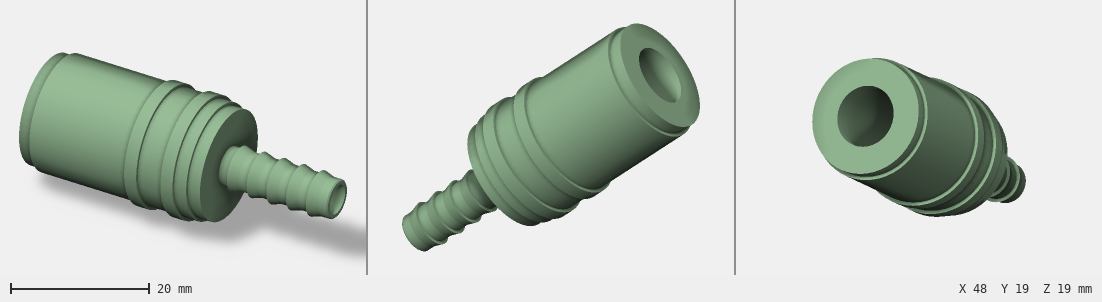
import cadquery as cq

BODY_LENGTH = 30.0
BODY_DIAMETER = 18.0
END_LAND_DIAMETER = 17.0
END_LAND_LENGTH = 2.0

RING_DIAMETER = 19.0
RING_WIDTH = 2.0
RING_STARTS = (18.0, 24.0)

TOTAL_LENGTH = 48.0
TAIL_DIAMETER = 6.0
TAIL_LENGTH = TOTAL_LENGTH - BODY_LENGTH
TIP_CHAMFER = 0.2
BARB_DIAMETER = 7.0
BARB_COUNT = 5
BARB_LENGTH = TAIL_LENGTH / (2 * BARB_COUNT + 1)

SOCKET_DIAMETER = 9.0
SOCKET_DEPTH = 20.0
PASSAGE_DIAMETER = 4.5


def cylinder(start, length, diameter):
    """Solid cylinder along +X, beginning at x = start."""
    return cq.Workplane("YZ", origin=(start, 0, 0)).circle(diameter / 2).extrude(length)


def make_body():
    """Cylinder with a reduced land at each end and the raised grip rings."""
    body = cylinder(0, BODY_LENGTH, END_LAND_DIAMETER)
    main_length = BODY_LENGTH - 2 * END_LAND_LENGTH
    body = body.union(cylinder(END_LAND_LENGTH, main_length, BODY_DIAMETER))
    for start in RING_STARTS:
        body = body.union(cylinder(start, RING_WIDTH, RING_DIAMETER))
    return body


def make_barb(start):
    """Cone with its sharp shoulder facing the body, tapering down to the tail."""
    return (
        cq.Workplane("XY")
        .moveTo(start, 0)
        .lineTo(start, BARB_DIAMETER / 2)
        .lineTo(start + BARB_LENGTH, TAIL_DIAMETER / 2)
        .lineTo(start + BARB_LENGTH, 0)
        .close()
        .revolve(360, (0, 0, 0), (1, 0, 0))
    )


def make_tail():
    """Hose tail with a chamfered tip and evenly spaced barbs."""
    tail = cylinder(BODY_LENGTH, TAIL_LENGTH, TAIL_DIAMETER)
    tail = tail.faces(">X").edges().chamfer(TIP_CHAMFER)
    for index in range(BARB_COUNT):
        start = BODY_LENGTH + (2 * index + 1) * BARB_LENGTH
        tail = tail.union(make_barb(start))
    return tail


def make_bores():
    """Blind socket in the body and the narrower passage through the whole part."""
    socket = cylinder(0, SOCKET_DEPTH, SOCKET_DIAMETER)
    passage = cylinder(0, TOTAL_LENGTH, PASSAGE_DIAMETER)
    return socket.union(passage)


result = make_body().union(make_tail()).cut(make_bores())